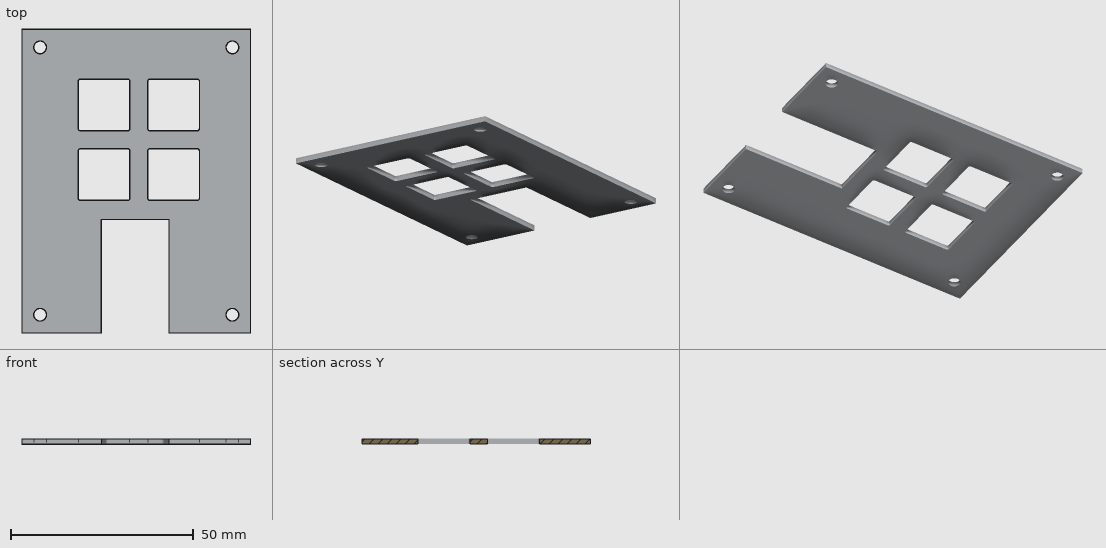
import cadquery as cq

plate_width = 62.6
plate_length = 83.1
plate_thickness = 1.5

screw_hole_diameter = 3.4
screw_hole_inset = 5.0

key_opening_side = 14.05
key_corner_radius = 0.5
key_pitch = 19.0
keys_per_side = 2
key_grid_center_x = 32.0
key_grid_center_y = 52.85

notch_left = 21.8
notch_width = 18.45
notch_depth = 31.0


def make_blank():
    return cq.Workplane("XY").box(plate_width, plate_length, plate_thickness, centered=False)


def make_screw_holes():
    spacing_x = plate_width - 2 * screw_hole_inset
    spacing_y = plate_length - 2 * screw_hole_inset
    return (
        cq.Workplane("XY")
        .center(plate_width / 2, plate_length / 2)
        .rect(spacing_x, spacing_y, forConstruction=True)
        .vertices()
        .circle(screw_hole_diameter / 2)
        .extrude(plate_thickness)
    )


def make_key_openings():
    return (
        cq.Workplane("XY")
        .center(key_grid_center_x, key_grid_center_y)
        .rarray(key_pitch, key_pitch, keys_per_side, keys_per_side)
        .rect(key_opening_side, key_opening_side)
        .extrude(plate_thickness)
        .edges("|Z")
        .fillet(key_corner_radius)
    )


def make_notch():
    return (
        cq.Workplane("XY")
        .box(notch_width, notch_depth, plate_thickness, centered=False)
        .translate((notch_left, 0, 0))
    )


def make_plate():
    return make_blank().cut(make_screw_holes()).cut(make_key_openings()).cut(make_notch())


plate = make_plate()

result = cq.Compound.makeCompound([plate.val()])